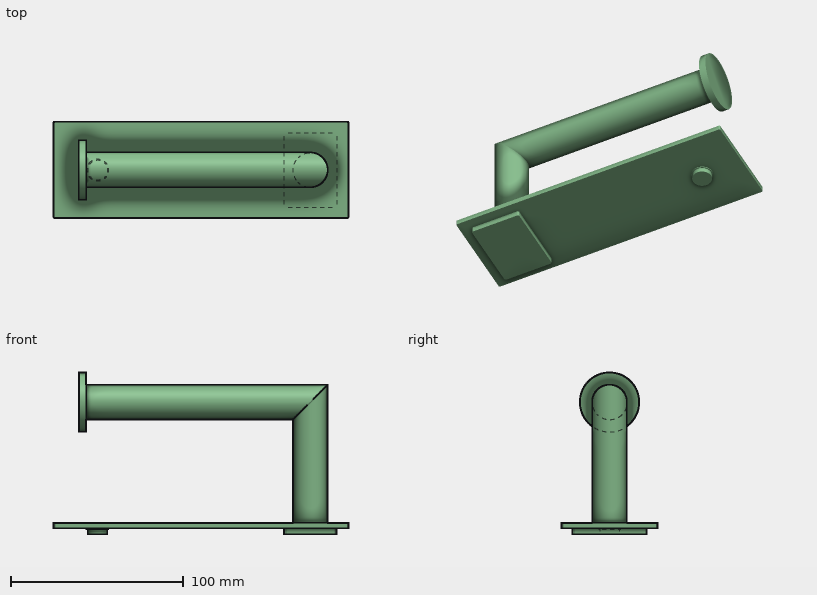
import cadquery as cq

plate_length = 170.94
plate_width = 55.88
plate_thickness = 3.2
plate_corner_radius = 0.8

pad_length = 30.48
pad_width = 43.18
pad_corner_radius = 1.0

foot_x = -60.0
foot_diameter = 11.5
collar_diameter = 12.7
collar_thickness = 0.5

bar_diameter = 20.2
post_x = 63.3

disc_diameter = 34.5
disc_thickness = 4.2
disc_outer_x = -70.8

overall_height = 93.87
support_depth = 3.5
arm_z = overall_height - support_depth - disc_diameter / 2


def make_plate():
    plate = cq.Workplane("XY").rect(plate_length, plate_width).extrude(plate_thickness)
    return plate.edges("|Z").fillet(plate_corner_radius)


def make_pad():
    pad = cq.Workplane("XY").center(post_x, 0).rect(pad_length, pad_width).extrude(-support_depth)
    return pad.edges("|Z").fillet(pad_corner_radius)


def make_foot():
    base = cq.Workplane("XY").center(foot_x, 0)
    stem = base.circle(foot_diameter / 2).extrude(-support_depth)
    collar = base.circle(collar_diameter / 2).extrude(-collar_thickness)
    return stem.union(collar)


def make_bar():
    """Sweep the bar along the post and the arm, with a sharp 45 degree mitre between them."""
    path = (
        cq.Workplane("XZ")
        .moveTo(post_x, plate_thickness)
        .lineTo(post_x, arm_z)
        .lineTo(disc_outer_x + disc_thickness, arm_z)
    )
    section = cq.Workplane("XY").workplane(offset=plate_thickness).center(post_x, 0).circle(bar_diameter / 2)
    return section.sweep(path, transition="right")


def make_disc():
    plane = cq.Workplane("YZ", origin=(disc_outer_x, 0, arm_z))
    return plane.circle(disc_diameter / 2).extrude(disc_thickness)


result = make_plate().union(make_pad()).union(make_foot()).union(make_bar()).union(make_disc())